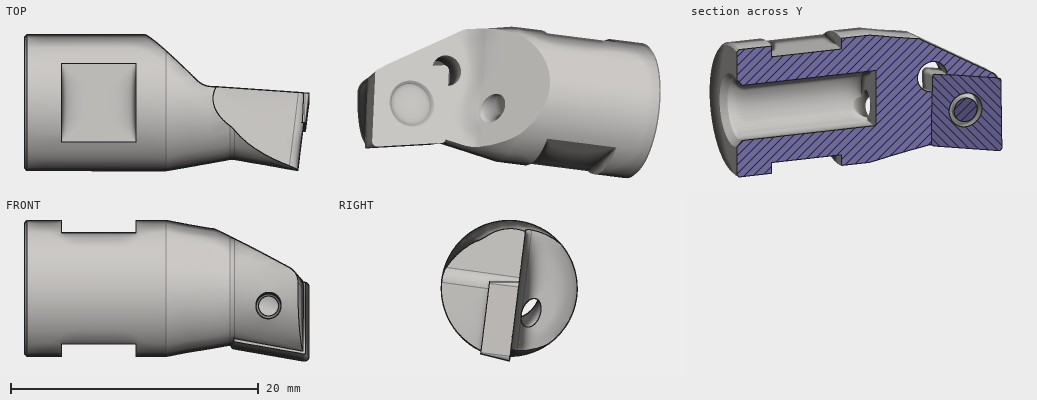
import cadquery as cq
import math

SHANK_DIAMETER = 11.0
SHANK_RADIUS = SHANK_DIAMETER / 2
SHANK_LENGTH = 11.45
SHANK_CHAMFER = 0.2
THROAT_X = 16.8
THROAT_FILLET = 1.0
HEAD_TAPER = 10.0
HEAD_BLANK_END = 24.0

FLAT_START = 3.0
FLAT_LENGTH = 6.0
FLAT_DISTANCE = 9.0

BORE_DIAMETER = 5.0
BORE_MOUTH_DIAMETER = 6.0
BORE_DEPTH = 12.0

SLOPE_ANGLE = 29.5
SLOPE_ROLL = 4.0
SLOPE_START_X = 15.2
SLOPE_START_Y = 0.5
SLOPE_START_Z = 4.83
END_RADIUS = 1.4
END_SETBACK = 0.14

RAKE_TILT = 7.0
RAKE_Y = 0.74
CHIP_WALL_ANGLE = 45.0
CHIP_CORNER_X = 14.45
CHIP_FILLET = 1.7

INSERT_CIRCLE = 6.35
INSERT_ANGLE = 80.0
INSERT_EDGE = INSERT_CIRCLE / math.sin(math.radians(INSERT_ANGLE))
INSERT_THICKNESS = 2.38
INSERT_RELIEF = 7.0
INSERT_NOSE_RADIUS = 0.4
INSERT_HOLE_DIAMETER = 2.8
INSERT_COUNTERSINK_DIAMETER = 3.85
NOSE_X = 23.0
NOSE_V = -6.0
RELIEF_DIAMETER = 2.5
RELIEF_INSET_X = 0.2
RELIEF_INSET_V = 0.5

SCREW_DIAMETER = 2.0
SCREW_HOLE_DIAMETER = 2.05
SCREW_HEAD_DIAMETER = 3.4
SCREW_HEAD_RECESS = (INSERT_COUNTERSINK_DIAMETER - SCREW_HEAD_DIAMETER) / 2
SCREW_OFFSET_X = -0.1
SCREW_OFFSET_V = 0.17
SCREW_LENGTH = 5.0
SCREW_TIP_CHAMFER = 0.19

COOLANT_DIAMETER = 2.0
COOLANT_ENTRY = (BORE_DEPTH, 1.4, -1.2)
COOLANT_DIRECTION = (1.0, 0.3, -0.65)
COOLANT_REACH = 4.0

CONE_ANGLE = 45.0
CLEARANCE = 20.0

tilt = math.radians(RAKE_TILT)
rake_plane = cq.Plane(
    origin=(0, RAKE_Y, 0),
    xDir=(1, 0, 0),
    normal=(0, -math.cos(tilt), math.sin(tilt)),
)

lean = math.radians(90 - INSERT_ANGLE)
edge_run = INSERT_EDGE * math.cos(lean)
edge_rise = INSERT_EDGE * math.sin(lean)
nose = (NOSE_X, NOSE_V)
end_corner = (NOSE_X, NOSE_V + INSERT_EDGE)
inner_corner = (NOSE_X - edge_run, end_corner[1] + edge_rise)
lower_corner = (NOSE_X - edge_run, NOSE_V + edge_rise)
insert_center = ((nose[0] + inner_corner[0]) / 2, (nose[1] + inner_corner[1]) / 2)
screw_center = (insert_center[0] + SCREW_OFFSET_X, insert_center[1] + SCREW_OFFSET_V)


def cone_depth(top_diameter, bottom_diameter):
    """Depth of a countersink cone between two diameters."""
    return (top_diameter - bottom_diameter) / 2 / math.tan(math.radians(CONE_ANGLE))


def make_blank():
    """Turned shank and waisted head with a chamfered rear edge."""
    taper = math.tan(math.radians(HEAD_TAPER))
    throat_radius = SHANK_RADIUS - (THROAT_X - SHANK_LENGTH) * taper
    half_arc = THROAT_FILLET * math.tan(math.radians(HEAD_TAPER))
    arc_run = half_arc * math.cos(math.radians(HEAD_TAPER))
    arc_radius = throat_radius + arc_run * taper
    end_radius = throat_radius + (HEAD_BLANK_END - THROAT_X) * taper
    profile = (
        cq.Workplane("XY")
        .lineTo(0, SHANK_RADIUS - SHANK_CHAMFER)
        .lineTo(SHANK_CHAMFER, SHANK_RADIUS)
        .lineTo(SHANK_LENGTH, SHANK_RADIUS)
        .lineTo(THROAT_X - arc_run, arc_radius)
        .tangentArcPoint((THROAT_X + arc_run, arc_radius), relative=False)
        .lineTo(HEAD_BLANK_END, end_radius)
        .lineTo(HEAD_BLANK_END, 0)
        .close()
    )
    return profile.revolve(360, (0, 0, 0), (1, 0, 0))


def make_head_envelope():
    """Block bounded by the sloped top and the leaning, rounded end face."""
    slope = math.tan(math.radians(SLOPE_ANGLE))
    end_x = NOSE_X - END_SETBACK
    start_z = SLOPE_START_Z + SLOPE_START_X * slope
    end_z = start_z - CLEARANCE * 2 * slope
    block = (
        cq.Workplane("XZ")
        .polyline([(0, -CLEARANCE), (0, start_z), (CLEARANCE * 2, end_z), (CLEARANCE * 2, -CLEARANCE)])
        .close()
        .extrude(CLEARANCE, both=True)
        .rotate(
            (0, SLOPE_START_Y, SLOPE_START_Z),
            (1, SLOPE_START_Y, SLOPE_START_Z),
            -SLOPE_ROLL,
        )
    )
    beyond_end = (
        cq.Workplane("XY")
        .box(CLEARANCE * 2, CLEARANCE * 3, CLEARANCE * 4, centered=(False, True, True))
        .rotate((0, 0, 0), (0, 0, 1), -INSERT_RELIEF)
        .translate((end_x, RAKE_Y, 0))
    )
    edge_z = start_z - end_x * slope
    block = block.cut(beyond_end)
    return block.edges(cq.selectors.NearestToPointSelector((end_x, 0, edge_z))).fillet(END_RADIUS)


def make_chip_space():
    """Space in front of the rake plane, closed at the rear by a leaning wall."""
    wall = math.radians(CHIP_WALL_ANGLE)
    height = CLEARANCE / 2
    section = (
        cq.Workplane(cq.Plane(
            origin=(0, RAKE_Y, 0),
            xDir=(1, 0, 0),
            normal=(0, math.sin(tilt), math.cos(tilt)),
        ))
        .moveTo(CHIP_CORNER_X, 0)
        .lineTo(CHIP_CORNER_X + CLEARANCE, 0)
        .lineTo(CHIP_CORNER_X + CLEARANCE, height)
        .lineTo(CHIP_CORNER_X - height / math.tan(wall), height)
        .close()
        .extrude(CLEARANCE, both=True)
    )
    corner = cq.selectors.NearestToPointSelector((CHIP_CORNER_X, RAKE_Y, 0))
    return section.edges(corner).fillet(CHIP_FILLET)


def make_bore():
    """Blind bore with a countersunk mouth."""
    bore = cq.Workplane("YZ").circle(BORE_DIAMETER / 2).extrude(BORE_DEPTH)
    mouth_depth = cone_depth(BORE_MOUTH_DIAMETER, BORE_DIAMETER)
    mouth = cq.Workplane("YZ").circle(BORE_MOUTH_DIAMETER / 2).extrude(mouth_depth, taper=CONE_ANGLE)
    return bore.union(mouth)


def make_flat_cutters():
    """Blocks that leave the two wrench flats."""
    cutters = cq.Workplane("XY")
    for side in (-1, 1):
        block = cq.Workplane("XY").box(FLAT_LENGTH, SHANK_DIAMETER * 2, SHANK_RADIUS)
        offset = side * (FLAT_DISTANCE + SHANK_RADIUS) / 2
        cutters = cutters.add(block.translate((FLAT_START + FLAT_LENGTH / 2, 0, offset)))
    return cutters.combine()


def rake_cylinder(center, diameter, depth):
    """Cylinder sunk from the rake plane into the holder."""
    return cq.Workplane(rake_plane).center(*center).circle(diameter / 2).extrude(depth)


def make_insert_blank():
    """Solid rhombus with rounded corners and flanks that lean inward."""
    outline = cq.Sketch().polygon([nose, end_corner, inner_corner, lower_corner, nose])
    outline = outline.vertices().fillet(INSERT_NOSE_RADIUS)
    return cq.Workplane(rake_plane).placeSketch(outline).extrude(INSERT_THICKNESS, taper=INSERT_RELIEF)


def make_insert(blank):
    """Insert with a countersunk hole for the screw."""
    sink_depth = cone_depth(INSERT_COUNTERSINK_DIAMETER, INSERT_HOLE_DIAMETER)
    sink = (
        cq.Workplane(rake_plane)
        .center(*screw_center)
        .circle(INSERT_COUNTERSINK_DIAMETER / 2)
        .extrude(sink_depth, taper=CONE_ANGLE)
    )
    return blank.cut(rake_cylinder(screw_center, INSERT_HOLE_DIAMETER, INSERT_THICKNESS)).cut(sink)


def make_screw():
    """Countersunk screw whose chamfered tip stops inside its hole."""
    head_height = cone_depth(SCREW_HEAD_DIAMETER, SCREW_DIAMETER)
    head = (
        cq.Workplane(rake_plane)
        .workplane(offset=SCREW_HEAD_RECESS)
        .center(*screw_center)
        .circle(SCREW_HEAD_DIAMETER / 2)
        .extrude(head_height, taper=CONE_ANGLE)
    )
    shank = (
        cq.Workplane(rake_plane)
        .workplane(offset=SCREW_HEAD_RECESS)
        .center(*screw_center)
        .circle(SCREW_DIAMETER / 2)
        .extrude(SCREW_LENGTH - SCREW_HEAD_RECESS)
        .faces("<Y")
        .chamfer(SCREW_TIP_CHAMFER)
    )
    return shank.union(head)


def make_holder(insert_blank):
    """Boring head with every pocket and hole cut into it."""
    coolant_plane = cq.Plane(origin=COOLANT_ENTRY, xDir=(0, 1, 0), normal=COOLANT_DIRECTION)
    coolant = cq.Workplane(coolant_plane).circle(COOLANT_DIAMETER / 2).extrude(COOLANT_REACH, both=True)
    relief_center = (inner_corner[0] + RELIEF_INSET_X, inner_corner[1] - RELIEF_INSET_V)
    return (
        make_blank()
        .intersect(make_head_envelope())
        .cut(make_chip_space())
        .cut(make_flat_cutters())
        .cut(make_bore())
        .cut(coolant)
        .cut(insert_blank)
        .cut(rake_cylinder(relief_center, RELIEF_DIAMETER, INSERT_THICKNESS))
        .cut(rake_cylinder(screw_center, SCREW_HOLE_DIAMETER, CLEARANCE))
    )


insert_blank = make_insert_blank()
holder = make_holder(insert_blank)
insert = make_insert(insert_blank)
screw = make_screw()

result = cq.Compound.makeCompound([holder.val(), insert.val(), screw.val()])